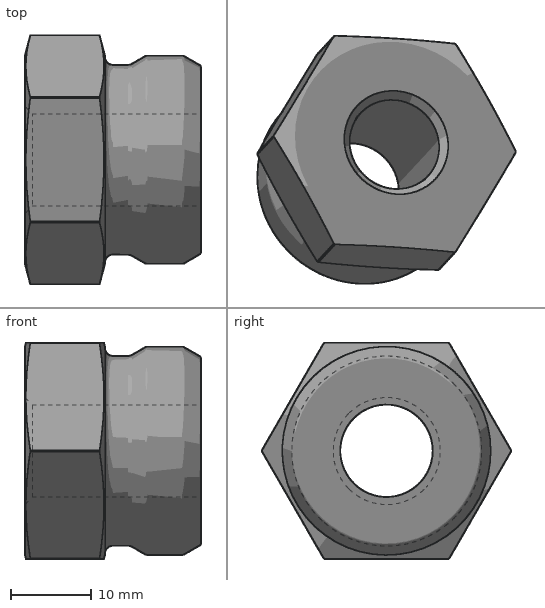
import cadquery as cq
import math

total_length = 22.0
hex_length = 10.0
across_flats = 27.0
across_corners = 31.08
hex_face_diameter = 26.0
hex_chamfer_angle = 15.0
neck_diameter = 23.7
collar_diameter = 26.0
collar_start = 15.15
collar_end = 19.77
collar_cone_angle = 30.0
bore_diameter = 11.5
countersink_diameter = 13.35
countersink_angle = 45.0
neck_fillet = 1.0
collar_fillet = 0.62
end_fillet = 0.4

cone_slope = math.tan(math.radians(collar_cone_angle))
neck_end = collar_start - (collar_diameter - neck_diameter) / 2 / cone_slope
end_diameter = collar_diameter - 2 * (total_length - collar_end) * cone_slope
edge_tolerance = 0.003


def revolve_about_x(points):
    """Revolve a closed outline of (x, radius) points about the X axis."""
    outline = cq.Workplane("XY").polyline(points).close()
    return outline.revolve(360, (0, 0, 0), (1, 0, 0))


def make_hex_head():
    """Hexagon with corners along Y, chamfered at both faces."""
    sharp_corners = across_flats / math.cos(math.radians(30))
    prism = cq.Workplane("YZ").polygon(6, sharp_corners).extrude(hex_length)
    face_radius = hex_face_diameter / 2
    corner_radius = across_corners / 2
    chamfer_depth = (corner_radius - face_radius) * math.tan(math.radians(hex_chamfer_angle))
    envelope = revolve_about_x([
        (0, 0),
        (0, face_radius),
        (chamfer_depth, corner_radius),
        (hex_length - chamfer_depth, corner_radius),
        (hex_length, face_radius),
        (hex_length, 0),
    ])
    return prism.intersect(envelope)


def make_shank():
    """Neck and double-coned collar, running through the hexagon to the far end."""
    return revolve_about_x([
        (0, 0),
        (0, neck_diameter / 2),
        (neck_end, neck_diameter / 2),
        (collar_start, collar_diameter / 2),
        (collar_end, collar_diameter / 2),
        (total_length, end_diameter / 2),
        (total_length, 0),
    ])


def fillet_ring(body, x, radius):
    """Round the circular edge lying in the plane at x."""
    low = (x - edge_tolerance, -across_corners, -across_corners)
    high = (x + edge_tolerance, across_corners, across_corners)
    return body.edges(cq.selectors.BoxSelector(low, high, boundingbox=True)).fillet(radius)


def make_bore():
    """Through bore with a countersink at the hexagon end."""
    bore_radius = bore_diameter / 2
    mouth_radius = countersink_diameter / 2
    countersink_depth = (mouth_radius - bore_radius) / math.tan(math.radians(countersink_angle))
    return revolve_about_x([
        (0, 0),
        (0, mouth_radius),
        (countersink_depth, bore_radius),
        (total_length, bore_radius),
        (total_length, 0),
    ])


def make_root_ring():
    """Concave ring that rounds the inside corner between neck and hexagon."""
    neck_radius = neck_diameter / 2
    return (
        cq.Workplane("XY")
        .moveTo(hex_length, neck_radius)
        .lineTo(hex_length, neck_radius + neck_fillet)
        .radiusArc((hex_length + neck_fillet, neck_radius), -neck_fillet)
        .close()
        .revolve(360, (0, 0, 0), (1, 0, 0))
    )


shank = make_shank()
shank = fillet_ring(shank, neck_end, neck_fillet)
for collar_edge in (collar_start, collar_end):
    shank = fillet_ring(shank, collar_edge, collar_fillet)
shank = fillet_ring(shank, total_length, end_fillet)

result = make_hex_head().union(shank).union(make_root_ring()).cut(make_bore())